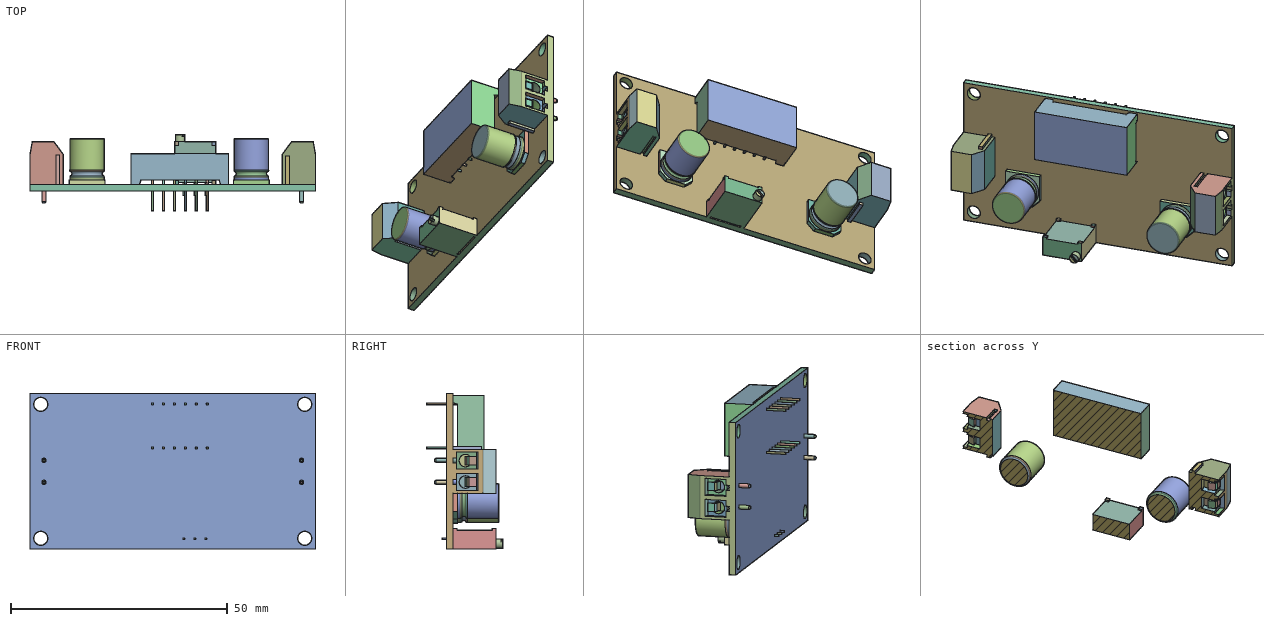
import cadquery as cq


board_length = 66
board_height = 36.0
board_thickness = 1.6
mount_hole_dia = 3.2
mount_hole_inset = 2.5

module_pin_dia = 0.51
module_pin_reach = 4.55
trimmer_pin_dia = 0.45
trimmer_pin_reach = 1.0
terminal_pin_dia = 1.0
terminal_pin_reach = 2.8
terminal_pin_tip_length = 0.4
terminal_pin_tip_inset = 0.25

module_left = -9.7
module_right = 12.95
module_bottom = 5.1
module_top = 17.55
module_back = 8.7
foot_height = 1.0
gap_left = -7.65
gap_right = 11.0
gap_bottom = 5.15
gap_top = 15.85
gap_taper = 0.3
module_pin_count = 6
module_pin_span = 12.7
module_pin_start = -4.7
module_pin_rows = (5.4, 15.6)

terminal_depth = 7.7
terminal_width = 10.15
terminal_back = 11.5
terminal_shoulder = 8.5
terminal_outer_taper = 0.5
terminal_inner_taper = 2.2
terminal_pole_pitch = 4.95
terminal_pin_pitch = 5.1
terminal_pin_inset = 3.25
key_depth = 0.65
rib_inset = 0.7
rib_width = 0.9
rib_back = 8.2
groove_inset = 0.85
groove_width = 0.8
groove_back = 8.4
window_width = 3.95
window_front = 2.4
window_back = 7.3
window_back_slope = 0.4
window_depth = 1.05
wire_hole_dia = 2.9
wire_hole_y = 4.4
wire_hole_flat_y = 5.3
wire_hole_depth = 3.3
clamp_width = 2.0
clamp_bend_y = 5.3
clamp_lip_y = 4.8
clamp_tip_y = 4.35
clamp_rise = 0.2
clamp_lip_depth = 0.05
clamp_tip_depth = 1.7
root_slot_width = 1.2
pin_root_dia = 1.1

capacitor_places = ((-19.8, -7.85), (18.15, -6.85))
capacitor_dia = 8.0
capacitor_back = 12.15
capacitor_rim = 0.2
capacitor_base_width = 8.3
capacitor_base_chamfer = 1.8
capacitor_base_height = 1.0
neck_lower = 3.2
neck_upper = 4.95
neck_depth = 0.45
neck_lip_drop = 0.1
neck_lip_height = 0.4

trimmer_left = 0.45
trimmer_right = 9.95
trimmer_top = -13.2
trimmer_back = 11.5
trimmer_tab = 0.9
trimmer_recess = 0.4
trimmer_foot_height = 0.4
knob_dia = 2.2
knob_back = 13.1
knob_x = 1.7
knob_z = -16.7
knob_slot_width = 0.5
knob_slot_depth = 0.45
knob_slot_angle = 45
trimmer_pin_count = 3
trimmer_pin_start = 2.6
trimmer_pin_z = -15.6

pin_pitch = module_pin_span / (module_pin_count - 1)
board_left = -board_length / 2
board_bottom = -board_height / 2


def block(x_range, y_range, z_range):
    """A box between two places along each axis."""
    size = [high - low for low, high in (x_range, y_range, z_range)]
    corner = (x_range[0], y_range[0], z_range[0])
    return cq.Workplane("XY").box(*size, centered=False).translate(corner)


def rod(x, z, diameter, y_range):
    """A round rod along Y."""
    front, back = y_range
    return cq.Workplane("XZ", origin=(x, front, z)).circle(diameter / 2).extrude(front - back)


def make_board():
    board = block(
        (board_left, -board_left), (0, board_thickness), (board_bottom, -board_bottom)
    )
    hole_spacing_x = board_length - 2 * mount_hole_inset
    hole_spacing_z = board_height - 2 * mount_hole_inset
    holes = (
        cq.Workplane("XZ")
        .rect(hole_spacing_x, hole_spacing_z, forConstruction=True)
        .vertices()
        .circle(mount_hole_dia / 2)
        .extrude(-board_thickness)
    )
    return board.cut(holes)


def make_gap(plane, low, high):
    """A tapered channel that passes right under the module and leaves its feet standing."""
    gap_back = board_thickness + foot_height
    outline = [
        (low, board_thickness),
        (high, board_thickness),
        (high - gap_taper, gap_back),
        (low + gap_taper, gap_back),
    ]
    return cq.Workplane(plane).polyline(outline).close().extrude(board_length / 2, both=True)


def make_module():
    module = block(
        (module_left, module_right), (board_thickness, module_back), (module_bottom, module_top)
    )
    module = module.cut(make_gap("XY", gap_left, gap_right))
    module = module.cut(make_gap("ZY", gap_bottom, gap_top))
    for row_z in module_pin_rows:
        for index in range(module_pin_count):
            pin_x = module_pin_start + index * pin_pitch
            pin_back = board_thickness + foot_height
            module = module.union(rod(pin_x, row_z, module_pin_dia, (-module_pin_reach, pin_back)))
    return module


def make_wire_entry(pole_z):
    """The cut for one wire: a window, a flat-topped round hole, and a clamp left standing in them."""
    face_x = board_left
    floor_x = face_x + window_depth
    z_range = (pole_z - window_width / 2, pole_z + window_width / 2)
    outline = [
        (face_x, window_front),
        (floor_x, window_front),
        (floor_x, window_back - window_back_slope),
        (face_x, window_back),
    ]
    window = (
        cq.Workplane("XY", origin=(0, 0, z_range[0]))
        .polyline(outline)
        .close()
        .extrude(window_width)
    )
    hole = (
        cq.Workplane("YZ", origin=(floor_x, wire_hole_y, pole_z))
        .circle(wire_hole_dia / 2)
        .extrude(wire_hole_depth)
    )
    hole_range = (floor_x, floor_x + wire_hole_depth)
    hole = hole.intersect(block(hole_range, (window_front, wire_hole_flat_y), z_range))
    clamp_front = floor_x - clamp_rise
    clamp_tip_x = floor_x + clamp_tip_depth
    clamp_outline = [
        (clamp_front, window_back - window_back_slope),
        (clamp_front, clamp_bend_y),
        (floor_x + clamp_lip_depth, clamp_lip_y),
        (clamp_tip_x, clamp_tip_y),
        (clamp_tip_x, window_back - window_back_slope),
    ]
    clamp = (
        cq.Workplane("XY", origin=(0, 0, pole_z - clamp_width / 2))
        .polyline(clamp_outline)
        .close()
        .extrude(clamp_width)
    )
    return window.union(hole).cut(clamp)


def make_terminal():
    """The terminal at the -X end of the board."""
    outer_x = board_left
    inner_x = outer_x + terminal_depth
    top_z = terminal_width / 2
    outline = [
        (outer_x, board_thickness),
        (inner_x, board_thickness),
        (inner_x, terminal_shoulder),
        (inner_x - terminal_inner_taper, terminal_back),
        (outer_x + terminal_outer_taper, terminal_back),
        (outer_x, terminal_shoulder),
    ]
    terminal = (
        cq.Workplane("XY", origin=(0, 0, -top_z)).polyline(outline).close().extrude(terminal_width)
    )
    rib_range = (inner_x - rib_inset - rib_width, inner_x - rib_inset)
    rib = block(rib_range, (board_thickness, rib_back), (-top_z - key_depth, -top_z))
    groove_range = (inner_x - groove_inset - groove_width, inner_x - groove_inset)
    groove = block(groove_range, (board_thickness, groove_back), (top_z - key_depth, top_z))
    terminal = terminal.union(rib).cut(groove)

    pin_x = outer_x + terminal_pin_inset
    for side in (-1, 1):
        pole_z = side * terminal_pole_pitch / 2
        slot_z_range = (pole_z - root_slot_width / 2, pole_z + root_slot_width / 2)
        slot = block((outer_x, pin_x), (board_thickness, window_front), slot_z_range)
        root = rod(pin_x, pole_z, pin_root_dia, (board_thickness, window_front))
        pin_z = side * terminal_pin_pitch / 2
        pin = rod(pin_x, pin_z, terminal_pin_dia, (-terminal_pin_reach, board_thickness))
        pin = pin.faces("<Y").chamfer(terminal_pin_tip_length, terminal_pin_tip_inset)
        terminal = terminal.cut(make_wire_entry(pole_z)).cut(slot)
        terminal = terminal.union(root).union(pin)
    return terminal


def make_capacitor(x, z):
    base_back = board_thickness + capacitor_base_height
    base = (
        cq.Workplane("XZ")
        .rect(capacitor_base_width, capacitor_base_width)
        .extrude(-capacitor_base_height)
        .edges("|Y and <Z")
        .chamfer(capacitor_base_chamfer)
        .translate((0, board_thickness, 0))
    )
    radius = capacitor_dia / 2
    lip_radius = radius - neck_lip_drop
    neck_middle = (neck_lower + neck_upper) / 2
    can = (
        cq.Workplane("XY")
        .moveTo(0, base_back)
        .lineTo(radius, base_back)
        .lineTo(radius, neck_lower)
        .tangentArcPoint((lip_radius, neck_lower + neck_lip_height), relative=False)
        .threePointArc(
            (radius - neck_depth, neck_middle), (lip_radius, neck_upper - neck_lip_height)
        )
        .tangentArcPoint((radius, neck_upper), relative=False)
        .lineTo(radius, capacitor_back)
        .lineTo(0, capacitor_back)
        .close()
        .revolve(360, (0, 0, 0), (0, 1, 0))
        .faces(">Y")
        .edges()
        .fillet(capacitor_rim)
    )
    return base.union(can).translate((x, 0, z))


def make_trimmer():
    x_range = (trimmer_left, trimmer_right)
    body = block(x_range, (board_thickness, trimmer_back), (board_bottom, trimmer_top))
    between_feet = (trimmer_left + trimmer_tab, trimmer_right - trimmer_tab)
    foot_back = board_thickness + trimmer_foot_height
    body = body.cut(block(between_feet, (board_thickness, foot_back), (board_bottom, trimmer_top)))
    sunk = (trimmer_top - trimmer_recess, trimmer_top)
    between_tabs = (board_thickness + trimmer_tab, trimmer_back - trimmer_tab)
    body = body.cut(block(x_range, between_tabs, sunk))
    body = body.cut(block(between_feet, (board_thickness, trimmer_back), sunk))

    knob = rod(knob_x, knob_z, knob_dia, (trimmer_back, knob_back))
    slot = (
        cq.Workplane("XZ", origin=(knob_x, knob_back, knob_z))
        .transformed(rotate=(0, 0, knob_slot_angle))
        .rect(2 * knob_dia, knob_slot_width)
        .extrude(knob_slot_depth)
    )
    trimmer = body.union(knob.cut(slot))
    for index in range(trimmer_pin_count):
        pin_x = trimmer_pin_start + index * pin_pitch
        trimmer = trimmer.union(
            rod(pin_x, trimmer_pin_z, trimmer_pin_dia, (-trimmer_pin_reach, foot_back))
        )
    return trimmer


result = make_board().union(make_module()).union(make_trimmer())
terminal = make_terminal()
result = result.union(terminal).union(terminal.rotate((0, 0, 0), (0, 1, 0), 180))
for place_x, place_z in capacitor_places:
    result = result.union(make_capacitor(place_x, place_z))